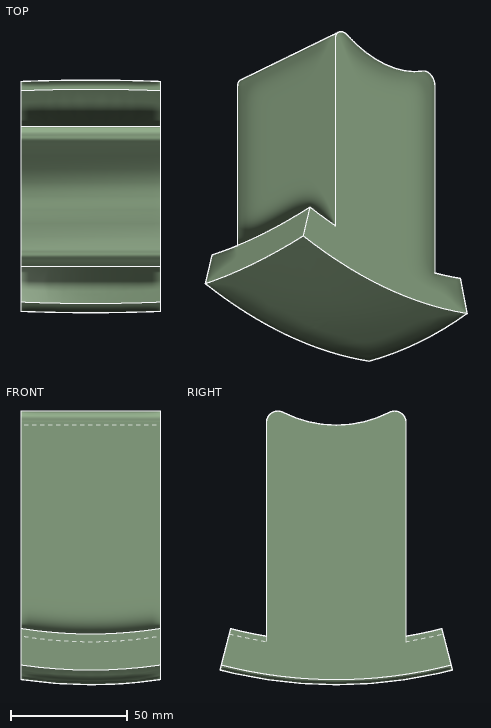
import cadquery as cq
import math

height = 117.7
width = 60.0
foot_depth = 100.0
sphere_radius = 200.1
foot_thickness = 16.0
scoop_radius = 50.0
lip_radius = 5.0

sphere_centre_z = sphere_radius
inner_radius = sphere_radius - foot_thickness
half_width = width / 2

lip_y = half_width - lip_radius
lip_z = height - lip_radius
centre_distance = scoop_radius + lip_radius
scoop_z = lip_z + math.sqrt(centre_distance**2 - lip_y**2)
tangent_y = lip_y * scoop_radius / centre_distance
tangent_z = scoop_z - (scoop_z - lip_z) * scoop_radius / centre_distance


def sphere(radius):
    return cq.Workplane("XY").sphere(radius).translate((0, 0, sphere_centre_z))


def make_foot():
    """Spherical shell segment with flat radial end faces and flat X sides."""
    half_depth = foot_depth / 2
    edge_drop = math.sqrt(sphere_radius**2 - half_depth**2)
    reach = 1.2
    wedge_y = half_depth * reach
    wedge_z = sphere_centre_z - edge_drop * reach
    wedge = (
        cq.Workplane("YZ")
        .polyline([(0, sphere_centre_z), (wedge_y, wedge_z), (-wedge_y, wedge_z)])
        .close()
        .extrude(half_width, both=True)
    )
    return wedge.intersect(sphere(sphere_radius)).cut(sphere(inner_radius))


def make_post():
    """Square post with a saddle between two rounded lips, trimmed to the underside."""
    profile = (
        cq.Workplane("YZ")
        .moveTo(-half_width, 0)
        .lineTo(half_width, 0)
        .lineTo(half_width, lip_z)
        .threePointArc((lip_y, height), (tangent_y, tangent_z))
        .threePointArc((0, scoop_z - scoop_radius), (-tangent_y, tangent_z))
        .threePointArc((-lip_y, height), (-half_width, lip_z))
        .close()
    )
    post = profile.extrude(half_width, both=True)
    return post.intersect(sphere(sphere_radius))


result = make_post().union(make_foot())